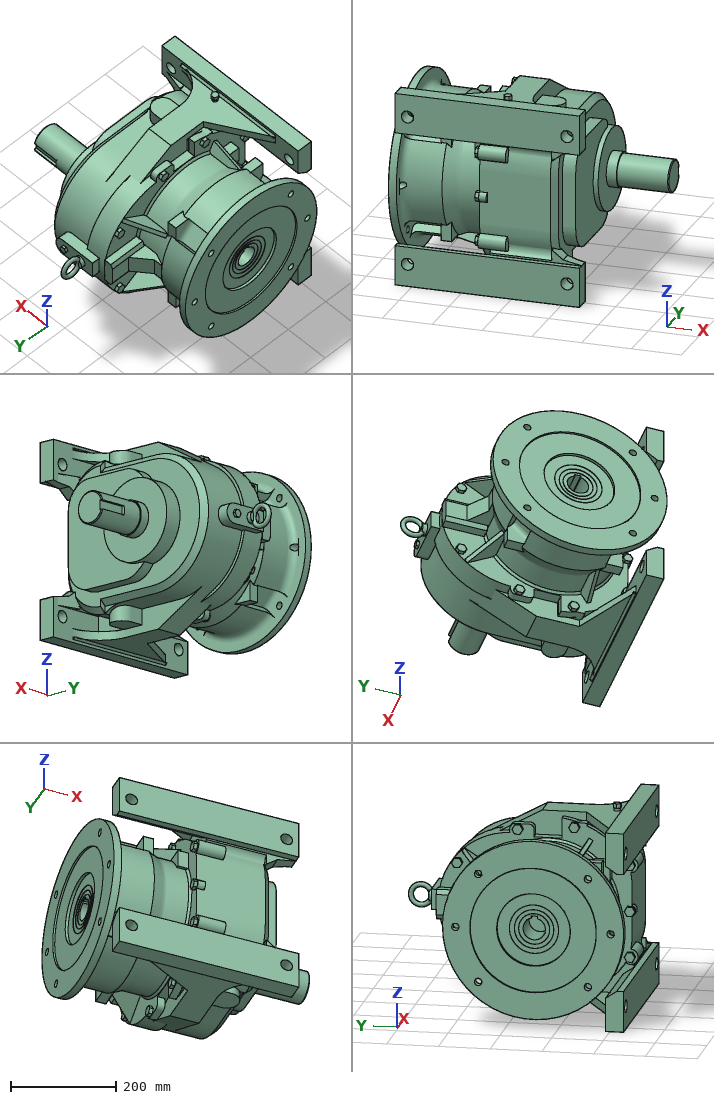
import cadquery as cq
import math


overlap = 1

flange_diameter = 350
flange_thickness = 16
bolt_circle_radius = 150
flange_hole_diameter = 14
flange_hole_depth = 26
flange_hole_angles = (0, 45, 135, 180, 225, 315)
body_radius = 143
body_root_fillet = 14
body_end_x = 97
cone_end_x = 121
cone_end_radius = 132.5
neck_start_x = 126
neck_radius = 131
neck_flare = 4.5
plate_front_x = 177.5
recess_steps = ((122, 4), (71, 10), (47.5, 11), (38, 12), (30, 13))
bore_radius = 21.5
bore_depth = 75
bore_key_width = 12
bore_key_top = 25

pocket_half_width = 24
pocket_floor_radius = 124
pocket_end_x = 86
pocket_fillet = 10
lug_end_x = 107
lug_corner = 116

casing_end_x = 331.5
casing_half_width = 136.5
casing_top_center_y = 73
casing_side_low_y = -17
casing_bottom_y = -158
casing_bottom_half_width = 55
casing_belly_top_y = -62
casing_chamfer = 12
upper_rim_radius = 143
upper_rim_end_x = 226
upper_rim_low_y = 30
plate_end_x = 193
lower_plate_radius = 178
lower_plate_top_y = -23
lower_plate_bottom_y = -145
lobe_y = (31, 78)
lobe_top_z = 161
lobe_fillet = 10
side_boss_half_width = 24
side_boss_y = -47.5
side_boss_end_x = 312
side_boss_top_z = 168

top_bolt = (179, 80)
upper_side_bolt = (62, 151)
lower_side_bolt = (-47.5, 160)
bottom_bolt = (-155, 90)
middle_bolt = (-155, 0)
bolt_flats = 18
bolt_head_height = 7.5
bottom_boss_radius = 15
bottom_boss_end_x = 233
middle_boss_radius = 10.5

rib_thickness = 9
upper_rib_angle = 32
upper_rib_start_x = 110
upper_rib_tip_radius = 137
upper_rib_end_radius = 198
lower_rib_angle = 120
lower_rib_tip_radius = 141
lower_rib_end_radius = 158
top_rib_slope_x = 117
top_rib_slope_end_y = 173.5
top_rib_half_width = 20
top_rib_pad_half_width = 29
top_rib_pad_x = 155.5
top_rib_pad_step = 5
top_rib_end_y = casing_top_center_y + upper_rim_radius
plate_tab_z = (63, 100)
plate_tab_y = -120

pad_half_width = 20
pad_top_y = 232.5
pad_end_x = 292.5
end_round_margin = 0.1
eye_x = 225.5
eye_radius = 20
eye_wire_radius = 4.9
overall_top_y = 282.72
eye_collar_diameter = 24
eye_collar_height = 9
breather_x = 268
breather_flats = 14
breather_height = 5.5

shaft_y = 63.5
output_boss_diameter = 165
output_boss_end_x = 368
collar_diameter = 70
collar_end_x = 388.5
shaft_diameter = 65
shaft_end_x = 492.5
shaft_chamfer = 2
shaft_key_width = 18
shaft_key_depth = 7
shaft_key_start_x = 432
cover_end_x = 358
cover_half_width = 109
cover_bottom_y = -122
cover_corner_radius = 54
cover_top_y = 82
cover_bevel_height = 17
cover_bevel_length = 5

foot_start_x = 12.5
foot_length = 370
foot_bottom_y = -172.5
foot_thickness = 35
foot_top_y = foot_bottom_y + foot_thickness
foot_inner_z = 115
foot_outer_z = 195
foot_bevel_height = 22
foot_bevel_width = 15
foot_hole_diameter = 24
foot_hole_xs = (37.5, 357.5)
foot_hole_z = 150
wing_start_x = 198
wing_end_x = 258
wing_top_z = 184.5
wing_slope_start_y = 19
wing_slope_end_y = 139
wing_slope = 28.5
wing_inner_z = 100
gusset_thickness = 17
gusset_start_x = 74
gusset_end_x = 328
gusset_top_y = -67
weld_width = 4.5
web_bottom_y = -158
web_edge_z = 112
web_hollow = (-150.5, 103)
web_root_y = -151
web_root_z = 90
web_top_z = 130
web_end_x = 322
web_nose_x = 345
web_nose_z = 108
web_nose_top_y = -126
web_nose_low_x = 369
plug_x = 222
plug_y = -121.5
plug_flats = 14
plug_stem_diameter = 12
plug_stem_height = 5.5
plug_top_z = 199


def cylinder_x(radius, start, end, y=0, z=0):
    """Solid cylinder along X between two stations."""
    return cq.Workplane("YZ", origin=(start, y, z)).circle(radius).extrude(end - start)


def box_between(xs, ys, zs):
    """Box spanning the given (low, high) pairs."""
    size = [high - low for low, high in (xs, ys, zs)]
    return cq.Workplane("XY").box(*size, centered=False).translate((xs[0], ys[0], zs[0]))


def across_corners_of(flats):
    """Corner-to-corner size of a hexagon with the given size across flats."""
    return flats / math.cos(math.radians(30))


def both_sides(solid):
    """The solid together with its mirror image across Z = 0."""
    return solid.union(solid.mirror("XY"))


def make_adapter():
    body = cylinder_x(flange_diameter / 2, 0, flange_thickness)
    profile = (
        cq.Workplane("XY")
        .moveTo(0, 0)
        .lineTo(0, body_radius + body_root_fillet)
        .lineTo(flange_thickness, body_radius + body_root_fillet)
        .radiusArc((flange_thickness + body_root_fillet, body_radius), -body_root_fillet)
        .lineTo(body_end_x, body_radius)
        .lineTo(cone_end_x, cone_end_radius)
        .lineTo(neck_start_x, neck_radius)
        .lineTo(plate_front_x - neck_flare, neck_radius)
        .lineTo(plate_front_x, neck_radius + neck_flare)
        .lineTo(plate_front_x, 0)
        .close()
    )
    body = body.union(profile.revolve(360, (0, 0, 0), (1, 0, 0)))

    pocket = box_between(
        (flange_thickness, pocket_end_x),
        (pocket_floor_radius, flange_diameter / 2),
        (-pocket_half_width, pocket_half_width),
    ).edges("<Y and |Z").fillet(pocket_fillet)
    for angle in (45, 135, 225, 315):
        body = body.cut(pocket.rotate((0, 0, 0), (1, 0, 0), angle))
    lug = box_between((pocket_end_x, lug_end_x), (0, lug_corner), (0, lug_corner))
    for quarter in range(4):
        body = body.union(lug.rotate((0, 0, 0), (1, 0, 0), 90 * quarter))

    for radius, depth in recess_steps:
        body = body.cut(cylinder_x(radius, 0, depth))
    body = body.cut(cylinder_x(bore_radius, 0, bore_depth))
    half_key = bore_key_width / 2
    body = body.cut(box_between((0, bore_depth), (-half_key, half_key), (0, bore_key_top)))
    for angle in flange_hole_angles:
        y = bolt_circle_radius * math.cos(math.radians(angle))
        z = bolt_circle_radius * math.sin(math.radians(angle))
        body = body.cut(cylinder_x(flange_hole_diameter / 2, 0, flange_hole_depth, y, z))
    return body


def make_casing():
    top_y = casing_top_center_y + casing_half_width
    belly_corner_radius = casing_belly_top_y - casing_bottom_y
    belly_top_z = casing_bottom_half_width + belly_corner_radius
    run = casing_side_low_y - casing_belly_top_y
    rise = belly_top_z - casing_half_width
    hollow_radius = (run**2 + rise**2) / (2 * rise)
    depth = casing_end_x - plate_front_x
    upper_low_y = casing_bottom_y / 2
    start = cq.Workplane("YZ", origin=(plate_front_x, 0, 0))
    upper = (
        start.moveTo(upper_low_y, -casing_half_width)
        .lineTo(upper_low_y, casing_half_width)
        .lineTo(casing_top_center_y, casing_half_width)
        .threePointArc((top_y, 0), (casing_top_center_y, -casing_half_width))
        .close()
        .extrude(depth)
    )
    upper = upper.faces(">X").chamfer(casing_chamfer)
    belly = box_between(
        (plate_front_x, casing_end_x),
        (casing_bottom_y, belly_corner_radius),
        (-belly_top_z, belly_top_z),
    )
    belly = belly.edges("|X and <Y").fillet(belly_corner_radius)
    belly = belly.faces(">X").chamfer(casing_chamfer)
    belly = belly.cut(box_between(
        (plate_front_x, casing_end_x),
        (casing_belly_top_y, belly_corner_radius),
        (-belly_top_z, belly_top_z),
    ))
    hollow = (
        start.moveTo(casing_belly_top_y, 0)
        .lineTo(casing_belly_top_y, belly_top_z)
        .radiusArc((casing_side_low_y, casing_half_width), -hollow_radius)
        .lineTo(casing_side_low_y, 0)
        .close()
        .extrude(depth - casing_chamfer)
    )
    casing = upper.union(belly).union(both_sides(hollow))

    rim = cylinder_x(upper_rim_radius, plate_front_x, upper_rim_end_x, casing_top_center_y)
    rim_zone = box_between(
        (plate_front_x, upper_rim_end_x),
        (upper_rim_low_y, top_rib_end_y),
        (-upper_rim_radius, upper_rim_radius),
    )
    plate = cylinder_x(lower_plate_radius, plate_front_x, plate_end_x)
    plate_zone = box_between(
        (plate_front_x, plate_end_x),
        (lower_plate_bottom_y, lower_plate_top_y),
        (-lower_plate_radius, lower_plate_radius),
    )
    casing = casing.union(rim.intersect(rim_zone)).union(plate.intersect(plate_zone))

    side_boss = (
        cq.Workplane("XY")
        .moveTo(plate_front_x, side_boss_y - side_boss_half_width)
        .lineTo(side_boss_end_x - side_boss_half_width, side_boss_y - side_boss_half_width)
        .threePointArc(
            (side_boss_end_x, side_boss_y),
            (side_boss_end_x - side_boss_half_width, side_boss_y + side_boss_half_width),
        )
        .lineTo(plate_front_x, side_boss_y + side_boss_half_width)
        .close()
        .extrude(side_boss_top_z)
    )
    return casing.union(both_sides(side_boss))


def hex_bolt(y, z):
    """Bolt head standing on the front of the joint plate."""
    start = cq.Workplane("YZ", origin=(plate_front_x - bolt_head_height, y, z))
    return start.polygon(6, across_corners_of(bolt_flats)).extrude(bolt_head_height + overlap)


def make_bolts():
    lobe = box_between((plate_front_x, plate_end_x), lobe_y, (0, lobe_top_z))
    lobe = lobe.edges("|X and >Z").fillet(lobe_fillet)
    boss = cylinder_x(bottom_boss_radius, plate_front_x, bottom_boss_end_x, *bottom_bolt)
    paired = lobe.union(boss)
    for place in (top_bolt, upper_side_bolt, lower_side_bolt, bottom_bolt):
        paired = paired.union(hex_bolt(*place))
    middle = cylinder_x(middle_boss_radius, plate_front_x, plate_end_x, *middle_bolt)
    return both_sides(paired).union(middle).union(hex_bolt(*middle_bolt))


def rib_plate(start_x, tip_radius, end_radius, angle):
    """Triangular rib on the neck, in the plane through the axis at an angle from +Y."""
    plate = (
        cq.Workplane("XY", origin=(0, 0, -rib_thickness / 2))
        .polyline([
            (start_x, neck_radius / 2),
            (start_x, tip_radius),
            (plate_front_x, end_radius),
            (plate_front_x, neck_radius / 2),
        ])
        .close()
        .extrude(rib_thickness)
    )
    return plate.rotate((0, 0, 0), (1, 0, 0), angle)


def make_ribs():
    upper = rib_plate(upper_rib_start_x, upper_rib_tip_radius, upper_rib_end_radius, upper_rib_angle)
    lower = rib_plate(body_end_x, lower_rib_tip_radius, lower_rib_end_radius, lower_rib_angle)
    top_profile = [
        (body_end_x, neck_radius / 2),
        (body_end_x, body_radius),
        (top_rib_slope_x, body_radius),
        (top_rib_pad_x, top_rib_slope_end_y),
        (top_rib_pad_x, top_rib_end_y),
        (plate_front_x, top_rib_end_y),
        (plate_front_x, neck_radius / 2),
    ]
    top = cq.Workplane("XY").polyline(top_profile).close().extrude(top_rib_half_width, both=True)
    pad = (
        cq.Workplane("XZ", origin=(0, top_rib_end_y, 0))
        .polyline([
            (top_rib_pad_x, -top_rib_half_width),
            (top_rib_pad_x, top_rib_half_width),
            (top_rib_pad_x + top_rib_pad_step, top_rib_pad_half_width),
            (plate_front_x, top_rib_pad_half_width),
            (plate_front_x, -top_rib_pad_half_width),
            (top_rib_pad_x + top_rib_pad_step, -top_rib_pad_half_width),
        ])
        .close()
        .extrude(top_rib_end_y - neck_radius)
    )
    tab = box_between((top_rib_pad_x, plate_front_x), (plate_tab_y, 0), plate_tab_z)
    return both_sides(upper.union(lower)).union(top).union(pad).union(tab)


def make_lifting_pad():
    pad = box_between(
        (plate_end_x, pad_end_x),
        (casing_top_center_y, pad_top_y),
        (-pad_half_width, pad_half_width),
    )
    pad = pad.edges("|Y and >X").fillet(pad_half_width - end_round_margin)
    top_plane = cq.Workplane("XZ", origin=(0, pad_top_y, 0))
    collar = top_plane.center(eye_x, 0).circle(eye_collar_diameter / 2).extrude(-eye_collar_height)
    breather = top_plane.center(breather_x, 0).polygon(6, across_corners_of(breather_flats))
    breather = breather.extrude(-breather_height)
    eye_center_y = overall_top_y - eye_radius - eye_wire_radius
    ring = cq.Workplane(
        cq.Solid.makeTorus(
            eye_radius, eye_wire_radius, cq.Vector(eye_x, eye_center_y, 0), cq.Vector(1, 0, 0)
        )
    )
    return pad.union(collar).union(breather).union(ring)


def make_output():
    boss = cylinder_x(output_boss_diameter / 2, plate_front_x, output_boss_end_x, shaft_y)
    collar = cylinder_x(collar_diameter / 2, plate_front_x, collar_end_x, shaft_y)
    shaft = cylinder_x(shaft_diameter / 2, collar_end_x, shaft_end_x, shaft_y)
    shaft = shaft.faces(">X").chamfer(shaft_chamfer)
    shaft_top_y = shaft_y + shaft_diameter / 2
    keyway = box_between(
        (shaft_key_start_x, shaft_end_x),
        (shaft_top_y - shaft_key_depth, shaft_top_y),
        (-shaft_key_width / 2, shaft_key_width / 2),
    )
    cover = box_between(
        (casing_end_x - casing_chamfer, cover_end_x),
        (cover_bottom_y, cover_top_y),
        (-cover_half_width, cover_half_width),
    )
    cover = cover.edges("|X").fillet(cover_corner_radius)
    bevel = (
        cq.Workplane("XY", origin=(0, 0, -cover_half_width))
        .polyline([
            (cover_end_x, cover_top_y - cover_bevel_height),
            (cover_end_x, cover_top_y),
            (cover_end_x - cover_bevel_length, cover_top_y),
        ])
        .close()
        .extrude(2 * cover_half_width)
    )
    cover = cover.cut(bevel)
    return boss.union(collar).union(cover).union(shaft.cut(keyway))


def make_web():
    """Web under the foot bevel, hollowed towards the casing and running out behind it."""
    web = (
        cq.Workplane("YZ", origin=(wing_start_x, 0, 0))
        .moveTo(web_bottom_y, web_top_z)
        .lineTo(web_bottom_y, web_edge_z)
        .threePointArc(web_hollow, (web_root_y, web_root_z))
        .lineTo(casing_belly_top_y, web_root_z)
        .lineTo(foot_top_y, web_top_z)
        .close()
        .extrude(web_end_x - wing_start_x)
    )
    foot_end_x = foot_start_x + foot_length
    nose_plan = (
        cq.Workplane("XZ", origin=(0, web_bottom_y, 0))
        .polyline([
            (web_end_x, web_root_z),
            (web_nose_x, web_nose_z),
            (foot_end_x, foot_inner_z),
            (foot_end_x, web_top_z),
            (web_end_x, web_top_z),
        ])
        .close()
        .extrude(web_bottom_y - web_nose_top_y)
    )
    nose_side = (
        cq.Workplane("XY")
        .polyline([
            (web_end_x, web_bottom_y),
            (web_end_x, web_nose_top_y),
            (web_nose_low_x, foot_top_y),
            (foot_end_x, foot_top_y),
            (foot_end_x, web_bottom_y),
        ])
        .close()
        .extrude(foot_outer_z)
    )
    return web.union(nose_plan.intersect(nose_side))


def make_foot():
    """One foot with its wing, on the +Z side."""
    foot = (
        cq.Workplane("YZ", origin=(foot_start_x, 0, 0))
        .polyline([
            (foot_bottom_y, foot_inner_z),
            (foot_bottom_y, foot_outer_z),
            (foot_top_y, foot_outer_z),
            (foot_top_y, foot_inner_z + foot_bevel_width),
            (foot_top_y - foot_bevel_height, foot_inner_z),
        ])
        .close()
        .extrude(foot_length)
    )
    slope_drop = (wing_slope_end_y - wing_slope_start_y) * math.tan(math.radians(wing_slope))
    wing = (
        cq.Workplane("YZ", origin=(wing_start_x, 0, 0))
        .polyline([
            (foot_top_y, wing_top_z),
            (wing_slope_start_y, wing_top_z),
            (wing_slope_end_y, wing_top_z - slope_drop),
            (casing_top_center_y, wing_inner_z),
            (foot_top_y, wing_inner_z),
        ])
        .close()
        .extrude(wing_end_x - wing_start_x)
    )
    gusset = (
        cq.Workplane("XY", origin=(0, 0, wing_top_z - gusset_thickness))
        .moveTo(gusset_start_x, foot_top_y)
        .lineTo(wing_start_x, gusset_top_y)
        .lineTo(wing_end_x, gusset_top_y)
        .radiusArc((gusset_end_x, foot_top_y), -(gusset_end_x - wing_end_x))
        .close()
        .extrude(gusset_thickness)
    )
    weld = (
        cq.Workplane("YZ", origin=(gusset_start_x, 0, 0))
        .polyline([
            (foot_top_y, wing_top_z),
            (foot_top_y + weld_width, wing_top_z),
            (foot_top_y, wing_top_z + weld_width),
        ])
        .close()
        .extrude(gusset_end_x - gusset_start_x)
    )
    foot = foot.union(wing).union(gusset).union(weld).union(make_web())
    for x in foot_hole_xs:
        hole = cq.Workplane("XZ", origin=(x, foot_top_y, foot_hole_z)).circle(foot_hole_diameter / 2)
        foot = foot.cut(hole.extrude(foot_thickness))
    return foot


def make_plug():
    stem = cq.Workplane("XY", origin=(plug_x, plug_y, wing_top_z - overlap))
    stem = stem.circle(plug_stem_diameter / 2).extrude(plug_stem_height + overlap)
    head_z = wing_top_z + plug_stem_height
    head = cq.Workplane("XY", origin=(plug_x, plug_y, head_z))
    head = head.polygon(6, across_corners_of(plug_flats)).extrude(plug_top_z - head_z)
    return stem.union(head)


result = (
    make_adapter()
    .union(make_ribs())
    .union(make_casing())
    .union(make_bolts())
    .union(make_lifting_pad())
    .union(make_output())
    .union(both_sides(make_foot()))
    .union(make_plug())
)